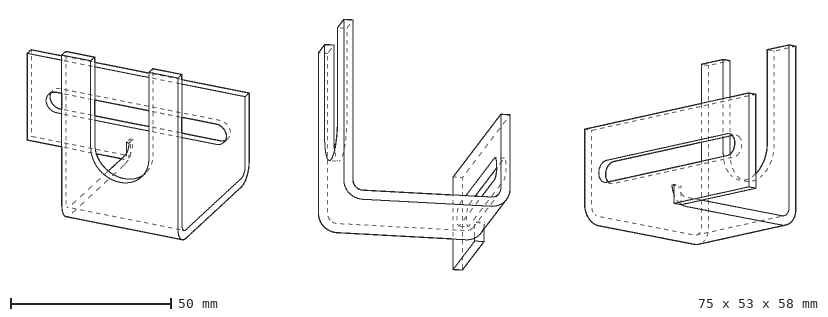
import cadquery as cq

plate_length = 75.0
depth = 53.0
front_height = 58.0
rear_height = 30.0
thickness = 3.0
inner_bend = 3.0
outer_bend = inner_bend + thickness

bracket_width = 40.0
relief_width = 0.9
fork_width = 20.0
fork_center_height = 28.0
slot_width = 7.0
slot_end_inset = 10.0

bracket_left = plate_length - bracket_width
bracket_center = plate_length - bracket_width / 2


def bent_bracket():
    """U-shaped strip: front flange, base and rear flange joined by round bends."""
    outside = (
        cq.Workplane("XY")
        .box(bracket_width, depth, front_height, centered=False)
        .edges("|X and <Z")
        .fillet(outer_bend)
    )
    inside = (
        cq.Workplane("XY")
        .box(bracket_width, depth - 2 * thickness, front_height, centered=False)
        .edges("|X and <Z")
        .fillet(inner_bend)
        .translate((0, thickness, thickness))
    )
    above_rear_flange = (
        cq.Workplane("XY")
        .box(bracket_width, thickness, front_height - rear_height, centered=False)
        .translate((0, depth - thickness, rear_height))
    )
    strip = outside.cut(inside).cut(above_rear_flange)
    return strip.translate((bracket_left, 0, 0))


def rear_plate_extension():
    """Rear plate beside the bracket, with a relief notch next to the bend."""
    plate = (
        cq.Workplane("XY")
        .box(bracket_left, thickness, rear_height, centered=False)
    )
    relief = (
        cq.Workplane("XY")
        .box(relief_width, thickness, outer_bend, centered=False)
        .translate((bracket_left - relief_width, 0, 0))
    )
    return plate.cut(relief).translate((0, depth - thickness, 0))


def fork_cutter():
    """Round-bottomed opening through the top of the front flange."""
    radius = fork_width / 2
    return (
        cq.Workplane("XZ")
        .moveTo(bracket_center - radius, front_height)
        .lineTo(bracket_center - radius, fork_center_height)
        .threePointArc(
            (bracket_center, fork_center_height - radius),
            (bracket_center + radius, fork_center_height),
        )
        .lineTo(bracket_center + radius, front_height)
        .close()
        .extrude(-thickness)
    )


def slot_cutter():
    """Long adjustment slot centered in the rear plate."""
    slot_length = plate_length - 2 * slot_end_inset + slot_width
    return (
        cq.Workplane("XZ", origin=(0, depth, 0))
        .center(plate_length / 2, rear_height / 2)
        .slot2D(slot_length, slot_width)
        .extrude(thickness)
    )


result = (
    bent_bracket()
    .union(rear_plate_extension())
    .cut(fork_cutter())
    .cut(slot_cutter())
)